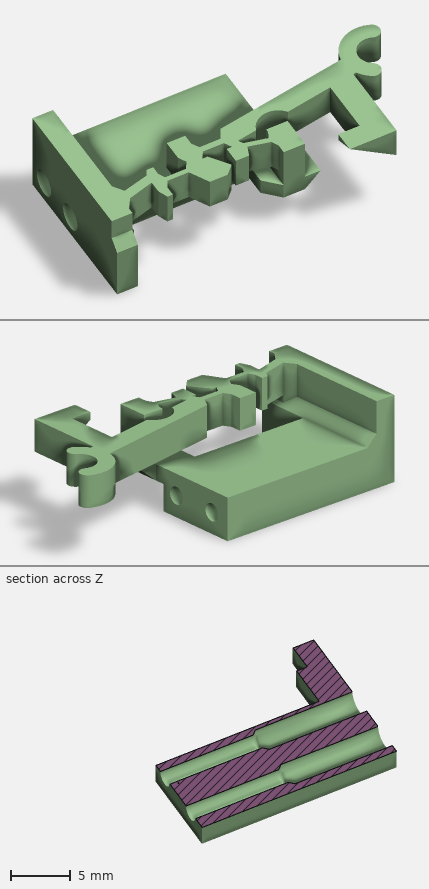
import cadquery as cq
import math

height = 8.0
base_height = 4.0
arm_bottom = 5.0
arm_thickness = height - arm_bottom

base_width = 8.2
base_length = 18.55
wall_width = 14.65
wall_thickness = 2.0
wall_fillet = arm_bottom - base_height
ledge_width = 12.15
corner_notch = 0.95

bore_height = 2.0
bore_positions = (2.02, 6.55)
head_diameter = 2.48
shank_diameter = 1.62
head_depth = base_length / 2
seat_depth = (head_diameter - shank_diameter) / 2

flexure_right = 13.7
post_left = 10.67
post_front = 16.5
catch_depth = 1.5
catch_front = 15.07
catch_corner = post_front - catch_front

arm_left_low = (8.75, 13.2)
arm_left_high = (6.6, 26.0)
arm_width = 2.0
arm_foot_right = (10.67, 13.78)
clearance_radius = 1.9
clearance_center = (10.88, 17.55)

cup_center = (7.03, 28.88)
cup_inner_radius = 1.5
cup_outer_radius = 3.0
cup_right_angle = -32
part_length = 30.55

hook_right = 16.07
hook_inner = 14.1
hook_top = arm_left_high[1]
hook_underside = 23.55
hook_tip = 21.5
hook_slope_x = 0.35
hook_slope_y = arm_thickness / (hook_top - hook_tip)

lower_strip = (11.4, 11.85)
upper_strip = (9.75, 10.33)
lower_strip_ends = (6.4, 8.4)
upper_strip_ends = (10.6, 12.62)
anchor_foot_left = (11.12, 14.05)
anchor_foot_right = (11.65, 14.15)
root_strip = (11.12, 12.1)
root_left = 10.15
root_right = 13.08
root_top = 2.65


def box(x_range, y_range, z_range):
    size = [high - low for low, high in (x_range, y_range, z_range)]
    corner = (x_range[0], y_range[0], z_range[0])
    return cq.Workplane("XY").box(*size, centered=False).translate(corner)


def plate(points, bottom=arm_bottom, top=height):
    return cq.Workplane("XY").workplane(offset=bottom).polyline(points).close().extrude(top - bottom)


def disc(center, radius):
    return cq.Workplane("XY").workplane(offset=arm_bottom).center(*center).circle(radius).extrude(arm_thickness)


def make_bore(x):
    seat_end = head_depth + seat_depth
    half_section = [
        (0, 0),
        (0, head_diameter / 2),
        (head_depth, head_diameter / 2),
        (seat_end, shank_diameter / 2),
        (base_length, shank_diameter / 2),
        (base_length, 0),
    ]
    bore = cq.Workplane("YZ").polyline(half_section).close().revolve(360, (0, 0), (1, 0))
    return bore.translate((x, 0, bore_height))


def make_base():
    slab = box((0, base_width), (0, base_length), (0, base_height))
    ledge_length = wall_thickness + wall_fillet
    wall_profile = [
        (0, 0),
        (ledge_length, 0),
        (ledge_length, base_height),
        (wall_thickness, arm_bottom),
        (wall_thickness, height),
        (0, height),
    ]
    ledge = cq.Workplane("YZ").polyline(wall_profile).close().extrude(ledge_width)
    wall_face = [
        (0, 0),
        (wall_width, 0),
        (wall_width, arm_bottom),
        (wall_width - corner_notch, arm_bottom + corner_notch),
        (wall_width - corner_notch, height),
        (0, height),
    ]
    wall = cq.Workplane("XZ").polyline(wall_face).close().extrude(-wall_thickness)
    base = slab.union(ledge).union(wall)
    for x in bore_positions:
        base = base.cut(make_bore(x))
    return base


def make_catch():
    catch_tip = base_length + catch_depth
    outline = [
        (base_width, catch_front),
        (flexure_right - catch_corner, catch_front),
        (flexure_right, post_front),
        (flexure_right, catch_tip),
        (post_left, catch_tip),
        (post_left - catch_depth, base_length),
        (base_width, base_length),
    ]
    side = [
        (catch_front, base_height - catch_depth),
        (base_length, base_height - catch_depth),
        (catch_tip, base_height),
        (catch_front, base_height),
    ]
    envelope = cq.Workplane("YZ").polyline(side).close().extrude(flexure_right)
    bar = plate(outline, base_height - catch_depth, base_height).intersect(envelope)
    post = box((post_left, flexure_right), (post_front, base_length), (base_height, height))
    return bar.union(post)


def make_cup():
    middle_radius = (cup_inner_radius + cup_outer_radius) / 2
    tip_radius = (cup_outer_radius - cup_inner_radius) / 2
    left_tip_rise = part_length - tip_radius - cup_center[1]
    left_angle = 180 - math.degrees(math.asin(left_tip_rise / middle_radius))
    right_angle = 360 + cup_right_angle

    def polar(radius, angle):
        turn = math.radians(angle)
        return (cup_center[0] + radius * math.cos(turn), cup_center[1] + radius * math.sin(turn))

    middle_angle = (left_angle + right_angle) / 2
    cup = (
        cq.Workplane("XY")
        .workplane(offset=arm_bottom)
        .moveTo(*polar(cup_outer_radius, left_angle))
        .threePointArc(polar(cup_outer_radius, middle_angle), polar(cup_outer_radius, right_angle))
        .lineTo(*polar(cup_inner_radius, right_angle))
        .threePointArc(polar(cup_inner_radius, middle_angle), polar(cup_inner_radius, left_angle))
        .close()
        .extrude(arm_thickness)
    )
    for angle in (left_angle, right_angle):
        cup = cup.union(disc(polar(middle_radius, angle), tip_radius))
    return cup


def make_hook():
    hook = plate(
        [
            (arm_left_high[0] + arm_width / 2, hook_top),
            (hook_right, hook_top),
            (hook_right, hook_tip),
            (hook_inner, hook_tip),
            (hook_inner, hook_underside),
            (arm_left_high[0] + arm_width / 2, hook_underside),
        ]
    )
    below_plane = cq.Plane(
        origin=(hook_right, hook_tip, height),
        xDir=(1, 0, hook_slope_x),
        normal=(hook_slope_x, -hook_slope_y, -1),
    )
    relief = cq.Workplane(below_plane).rect(2 * part_length, 2 * part_length).extrude(part_length)
    return hook.cut(relief)


def make_arm():
    high_x, high_y = arm_left_high
    slant = (high_x - arm_left_low[0]) / (high_y - arm_left_low[1])
    band_top = cup_center[1] - (cup_inner_radius + cup_outer_radius) / 2
    band_top_x = high_x + slant * (band_top - high_y)
    knuckle_right = 12.62
    knuckle_left = 11.03
    knuckle_bottom = 12.5
    band = plate(
        [
            arm_left_low,
            arm_left_high,
            (band_top_x, band_top),
            (band_top_x + arm_width, band_top),
            arm_foot_right,
            anchor_foot_left,
            anchor_foot_right,
            (knuckle_right, arm_foot_right[1]),
            (knuckle_right, knuckle_bottom),
            (knuckle_left, knuckle_bottom),
            (knuckle_left, 13.02),
            (upper_strip[1], upper_strip_ends[1]),
            (upper_strip[0], upper_strip_ends[1]),
        ]
    )
    band = band.union(make_hook())
    return band.cut(disc(clearance_center, clearance_radius)).union(make_cup())


def make_anchor_strip():
    neck_top = 16.2
    return plate(
        [
            anchor_foot_left,
            (11.65, neck_top),
            (10.97, post_front),
            (12.85, post_front),
            (12.15, neck_top),
            anchor_foot_right,
        ]
    )


def make_coupler():
    left = 8.0
    bottom = 8.43
    top = 10.2
    return plate(
        [
            (left, bottom),
            (left, top),
            (9.05, top),
            (upper_strip[0], upper_strip_ends[0]),
            (upper_strip[1], upper_strip_ends[0]),
            (11.03, top),
            (11.03, 10.67),
            (12.85, 11.98),
            (flexure_right, 11.12),
            (flexure_right, 9.4),
            (lower_strip[1], lower_strip_ends[1]),
            (lower_strip[0], lower_strip_ends[1]),
            (10.7, 8.83),
            (9.95, bottom),
        ]
    )


def make_rocker():
    left = 9.9
    right = 13.48
    leg_top = 5.1
    lobe_bottom = 5.47
    lobe_top = 6.08
    right_lobe_top = 6.0
    body = plate(
        [
            (root_strip[0], root_top),
            (10.48, leg_top),
            (left, lobe_bottom),
            (left, lobe_top),
            (10.75, lobe_top),
            (lower_strip[0], lower_strip_ends[0]),
            (lower_strip[1], lower_strip_ends[0]),
            (12.55, right_lobe_top),
            (right, right_lobe_top),
            (right, lobe_bottom),
            (12.55, leg_top),
            (11.4, leg_top),
            (root_strip[1], root_top),
        ]
    )
    root = plate(
        [
            (root_left, wall_thickness),
            (root_strip[0], root_top),
            (root_strip[1], root_top),
            (root_right, wall_thickness),
        ],
        base_height,
    )
    return body.union(root)


result = make_base().union(make_catch()).union(make_arm())
for strip, ends in ((lower_strip, lower_strip_ends), (upper_strip, upper_strip_ends)):
    result = result.union(box(strip, ends, (arm_bottom, height)))
for link in (make_anchor_strip(), make_coupler(), make_rocker()):
    result = result.union(link)